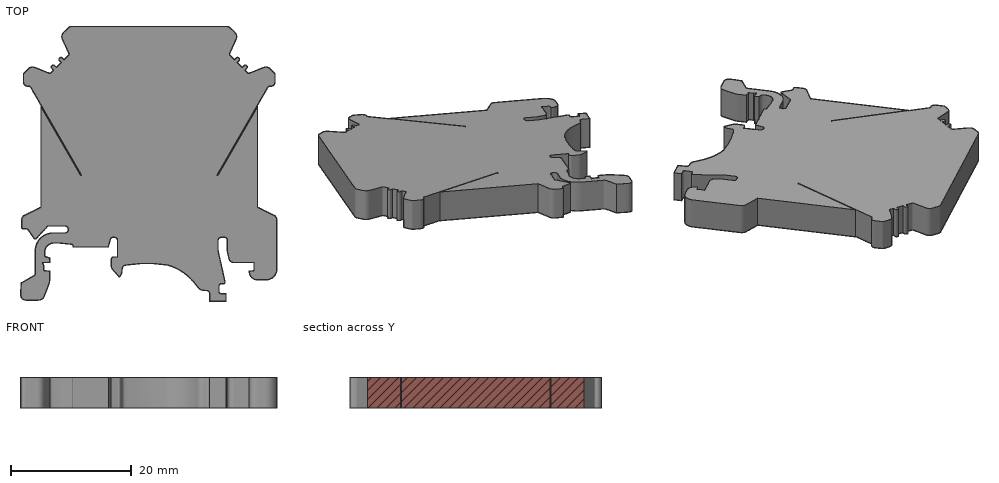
import cadquery as cq
import math


THICKNESS = 5.1
HEIGHT = 45.65
WIDTH = 42.53
SHOULDER_HALF_WIDTH = 21.18
HOOK_LEFT_X = SHOULDER_HALF_WIDTH - WIDTH

SHARP = 0
TINY_ROUND = 0.1
SMALL_ROUND = 0.25
SLOT_ROUND_TIGHT = 0.35
MEDIUM_ROUND = 0.5
WIDE_ROUND = 0.9
ROUND_CORNER = 1.0

BODY_HALF_WIDTH = 17.97
FLANK_BOTTOM_Y = 15.65
SHOULDER_Y = 14.06
CROWN_HALF_WIDTH = 13.18
CROWN_SIDE = (14.72, 44.13)
SEAT_TOP = (13.28, 40.99)
SEAT_ANGLE = 45
SEAT_LENGTH = 4.48
SEAT_RADIUS = 0.15
EAR_TIP = (19.6, 39.07)
EAR_HALF_WIDTH = 20.87
EAR_SHOULDER_Y = 37.8
EAR_BOTTOM_Y = 35.67
EAR_HEEL_X = 19.76
EAR_BOTTOM_RADIUS = 0.75
FUNNEL_ANGLE = math.radians(60)

RIDGE_OFFSETS = (1.56, 3.36)
RIDGE_WIDTH = 0.66
RIDGE_HEIGHT = 0.7
RIDGE_RADIUS = 0.25

SLIT_END_Y = 20.9
SLIT_WIDTH = 0.1

LEG_LEFT_X = -18.93
LEG_INNER_X = -17.33
JAW_X = -16.5
JAW_NOTCH_X = -17.48
JAW_NOTCH_DEEP_X = -17.7
FOOT_BOTTOM_Y = 0.2
FOOT_TOP = (-21.25, 3.07)
FOOT_SIDE_Y = 1.5
FOOT_TOE_X = -17.67
FOOT_TOE_RADIUS = 1.1
FOOT_FRONT_Y = 3.2
FOOT_FRONT_RADIUS = 2.0
JAW_LOWER_Y = 5.03
JAW_NOTCH_BOTTOM_Y = 5.15
JAW_NOTCH_STEP_Y = 6.0
JAW_UPPER_Y = 7.22
LEG_POCKET_Y = 7.48
LEG_BOTTOM_Y = 4.4
SPRING_SLOT_TOP_Y = 12.51
SPRING_SLOT_BOTTOM_Y = 11.38
SPRING_SLOT_END_X = -13.44
SPRING_SLOT_RADIUS = 0.54
SPRING_SLOT_MOUTH_X = -16.82
BARB_TIP = (-18.95, 10.2)
BARB_HEEL_X = -20.2
BARB_TOP_Y = 12.03
LEG_OUTER_RADIUS = 3.0
LEG_INNER_RADIUS = 1.5
LEG_TOP_Y = 9.67
LEG_ROOT_X = -14.85
WEB_STEP = (-12.75, 9.45)
WEB_LEFT_X = -12.6
WEB_RIGHT_X = -6.8
WEB_Y = 9.02

SLOT_TOP_Y = 10.62
LEFT_SLOT_RIGHT_X = -5.28
LEFT_SLOT_LEFT_X = -6.33
SPUR_LEFT_X = -6.32
SPUR_TOP_Y = 7.38
SPUR_TOP_RADIUS = 0.4
SPUR_BOTTOM_Y = 5.55
SPUR_TIP = (-4.92, 3.98)
SPUR_TIP_RADIUS = 0.15
SPUR_INNER = (-4.55, 4.7)
SADDLE_START = (-4.42, 5.93)
SADDLE_START_RADIUS = 0.6
SADDLE_CROWN = (-0.35, 6.55)
SADDLE_CROWN_RADIUS = 22.0
SADDLE_BREAK = (3.02, 6.03)
SADDLE_FLANK = (5.77, 5.25)
SADDLE_FLANK_RADIUS = 8.7
LATCH_LEFT_X = 10.02
LATCH_RIGHT_X = 12.73
LATCH_NECK_X = 11.6
LATCH_TOP_Y = 1.82
LATCH_LIP_Y = 1.32
LATCH_BARB = (12.66, 2.92)
LATCH_BARB_RADIUS = 0.3
LATCH_SHOULDER_RADIUS = 0.6
LATCH_ROOT_X = 8.48
LATCH_ROOT_RADIUS = 1.3
RIGHT_SLOT_LEFT_X = 11.43
RIGHT_SLOT_RIGHT_X = 12.91
RIGHT_SLOT_BEND_Y = 8.4

RAIL_SEAT_Y = 6.43
RAIL_SEAT_LEFT_X = 13.35
RAIL_STOP_X = 17.37
RAIL_STOP_BOTTOM_Y = 5.12
FIXED_LIP_X = 16.57
FIXED_LIP_Y = 5.03
FIXED_FOOT_BOTTOM_Y = 3.57
FIXED_FOOT_RADIUS = 1.8
FIXED_LIP_RADIUS = 1.4


def upper_side():
    """Corners of the +X upper housing, from the top edge down to the shoulder."""
    seat_step = SEAT_LENGTH * math.cos(math.radians(SEAT_ANGLE))
    return [
        (CROWN_HALF_WIDTH, HEIGHT, ROUND_CORNER),
        (*CROWN_SIDE, ROUND_CORNER),
        (*SEAT_TOP, SEAT_RADIUS),
        (SEAT_TOP[0] + seat_step, SEAT_TOP[1] - seat_step, SEAT_RADIUS),
        (*EAR_TIP, ROUND_CORNER),
        (EAR_HALF_WIDTH, EAR_SHOULDER_Y, SMALL_ROUND),
        (EAR_HALF_WIDTH, EAR_BOTTOM_Y, EAR_BOTTOM_RADIUS),
        (EAR_HEEL_X, EAR_BOTTOM_Y, SMALL_ROUND),
        (BODY_HALF_WIDTH, funnel_y(BODY_HALF_WIDTH), SHARP),
        (BODY_HALF_WIDTH, FLANK_BOTTOM_Y, SHARP),
        (SHOULDER_HALF_WIDTH, SHOULDER_Y, WIDE_ROUND),
    ]


def funnel_y(x):
    """Height of the sloping ear underside at a given distance from the axis."""
    return EAR_BOTTOM_Y - (EAR_HEEL_X - x) * math.tan(FUNNEL_ANGLE)


def fixed_foot():
    """Corners of the +X foot, from its outer bottom corner to the rail seat."""
    return [
        (SHOULDER_HALF_WIDTH, FIXED_FOOT_BOTTOM_Y, FIXED_FOOT_RADIUS),
        (FIXED_LIP_X, FIXED_FOOT_BOTTOM_Y, FIXED_LIP_RADIUS),
        (FIXED_LIP_X, FIXED_LIP_Y, SHARP),
        (RAIL_STOP_X, RAIL_STOP_BOTTOM_Y, TINY_ROUND),
        (RAIL_STOP_X, RAIL_SEAT_Y, SHARP),
        (RAIL_SEAT_LEFT_X, RAIL_SEAT_Y, WIDE_ROUND),
    ]


def latch_and_saddle():
    """Corners from the right relief slot over the latch and saddle to the spur."""
    return [
        (RIGHT_SLOT_RIGHT_X, RIGHT_SLOT_BEND_Y, SHARP),
        (RIGHT_SLOT_RIGHT_X, SLOT_TOP_Y, SLOT_ROUND_TIGHT),
        (RIGHT_SLOT_LEFT_X, SLOT_TOP_Y, MEDIUM_ROUND),
        (RIGHT_SLOT_LEFT_X, RIGHT_SLOT_BEND_Y, SHARP),
        (*LATCH_BARB, LATCH_BARB_RADIUS),
        (LATCH_NECK_X, LATCH_BARB[1], LATCH_BARB_RADIUS),
        (LATCH_NECK_X, LATCH_LIP_Y, SMALL_ROUND),
        (LATCH_RIGHT_X, LATCH_LIP_Y, SHARP),
        (LATCH_RIGHT_X, 0, SHARP),
        (LATCH_LEFT_X, 0, SHARP),
        (LATCH_LEFT_X, LATCH_TOP_Y, LATCH_SHOULDER_RADIUS),
        (LATCH_ROOT_X, LATCH_TOP_Y, LATCH_ROOT_RADIUS),
        (*SADDLE_FLANK, SADDLE_FLANK_RADIUS),
        (*SADDLE_BREAK, SHARP),
        (*SADDLE_CROWN, SADDLE_CROWN_RADIUS),
        (*SADDLE_START, SADDLE_START_RADIUS),
        (*SPUR_INNER, MEDIUM_ROUND),
        (*SPUR_TIP, SPUR_TIP_RADIUS),
        (SPUR_LEFT_X, SPUR_BOTTOM_Y, ROUND_CORNER),
        (SPUR_LEFT_X, SPUR_TOP_Y, SPUR_TOP_RADIUS),
        (LEFT_SLOT_RIGHT_X, SPUR_TOP_Y, SHARP),
        (LEFT_SLOT_RIGHT_X, SLOT_TOP_Y, MEDIUM_ROUND),
        (LEFT_SLOT_LEFT_X, SLOT_TOP_Y, SLOT_ROUND_TIGHT),
        (WEB_RIGHT_X, WEB_Y, SHARP),
    ]


def spring_foot():
    """Corners of the -X foot, along its inside, around the hook and back up."""
    return [
        (WEB_LEFT_X, WEB_Y, TINY_ROUND),
        (*WEB_STEP, TINY_ROUND),
        (LEG_ROOT_X, LEG_TOP_Y, SHARP),
        (LEG_INNER_X, LEG_TOP_Y, LEG_INNER_RADIUS),
        (LEG_INNER_X, LEG_POCKET_Y, SMALL_ROUND),
        (JAW_X, JAW_UPPER_Y, SHARP),
        (JAW_X, RAIL_SEAT_Y, SHARP),
        (JAW_NOTCH_DEEP_X, RAIL_SEAT_Y, SHARP),
        (JAW_NOTCH_X, JAW_NOTCH_STEP_Y, SHARP),
        (JAW_NOTCH_X, JAW_NOTCH_BOTTOM_Y, SHARP),
        (JAW_X, JAW_LOWER_Y, SHARP),
        (JAW_X, FOOT_FRONT_Y, FOOT_FRONT_RADIUS),
        (FOOT_TOE_X, FOOT_BOTTOM_Y, FOOT_TOE_RADIUS),
        (HOOK_LEFT_X, FOOT_BOTTOM_Y, WIDE_ROUND),
        (HOOK_LEFT_X, FOOT_SIDE_Y, SHARP),
        (*FOOT_TOP, SHARP),
        (LEG_LEFT_X, LEG_BOTTOM_Y, MEDIUM_ROUND),
        (LEG_LEFT_X, SPRING_SLOT_BOTTOM_Y, LEG_OUTER_RADIUS),
        (SPRING_SLOT_END_X, SPRING_SLOT_BOTTOM_Y, SPRING_SLOT_RADIUS),
        (SPRING_SLOT_END_X, SPRING_SLOT_TOP_Y, SPRING_SLOT_RADIUS),
        (SPRING_SLOT_MOUTH_X, SPRING_SLOT_TOP_Y, TINY_ROUND),
        (*BARB_TIP, SMALL_ROUND),
        (BARB_HEEL_X, BARB_TOP_Y, MEDIUM_ROUND),
        (-SHOULDER_HALF_WIDTH, BARB_TOP_Y, SMALL_ROUND),
    ]


def mirrored(corners):
    """The same corners on the other side of X = 0, in reverse order."""
    return [(-x, y, radius) for x, y, radius in reversed(corners)]


def rounded_outline(corners):
    """Closed wire through the corners, each rounded by a tangent arc."""
    outline = None
    for index, (x, y, radius) in enumerate(corners):
        corner = cq.Vector(x, y)
        before = cq.Vector(*corners[index - 1][:2])
        after = cq.Vector(*corners[(index + 1) % len(corners)][:2])
        to_before = (before - corner).normalized()
        to_after = (after - corner).normalized()
        half_angle = to_before.getAngle(to_after) / 2
        setback = radius / math.tan(half_angle)
        arc_start = corner + to_before * setback
        if outline is None:
            outline = cq.Workplane("XY").moveTo(arc_start.x, arc_start.y)
        else:
            outline = outline.lineTo(arc_start.x, arc_start.y)
        if radius > SHARP:
            arc_end = corner + to_after * setback
            bisector = (to_before + to_after).normalized()
            arc_middle = corner + bisector * (radius / math.sin(half_angle) - radius)
            outline = outline.threePointArc(arc_middle.toTuple()[:2], arc_end.toTuple()[:2])
    return outline.close()


def ridge(offset):
    """One rounded ridge standing square on the +X label seat."""
    buried = RIDGE_WIDTH
    step = offset * math.cos(math.radians(SEAT_ANGLE))
    return (
        cq.Workplane("XY")
        .rect(RIDGE_HEIGHT + buried, RIDGE_WIDTH)
        .extrude(THICKNESS)
        .edges("|Z and >X")
        .fillet(RIDGE_RADIUS)
        .translate(((RIDGE_HEIGHT - buried) / 2, 0, 0))
        .rotate((0, 0, 0), (0, 0, 1), SEAT_ANGLE)
        .translate((SEAT_TOP[0] + step, SEAT_TOP[1] - step, 0))
    )


def slit():
    """Thin slit in line with the +X ear underside, open at the body flank."""
    drop = SLIT_WIDTH / math.cos(FUNNEL_ANGLE)
    end_x = EAR_HEEL_X - (EAR_BOTTOM_Y - SLIT_END_Y) / math.tan(FUNNEL_ANGLE)
    open_y = funnel_y(BODY_HALF_WIDTH)
    return (
        cq.Workplane("XY")
        .moveTo(BODY_HALF_WIDTH, open_y)
        .lineTo(end_x, SLIT_END_Y)
        .lineTo(end_x + SLIT_WIDTH / math.sin(FUNNEL_ANGLE), SLIT_END_Y)
        .lineTo(BODY_HALF_WIDTH, open_y - drop)
        .close()
        .extrude(THICKNESS)
    )


corners = (
    upper_side()
    + fixed_foot()
    + latch_and_saddle()
    + spring_foot()
    + mirrored(upper_side())
)
result = rounded_outline(corners).extrude(THICKNESS)

for ridge_offset in RIDGE_OFFSETS:
    seat_ridge = ridge(ridge_offset)
    result = result.union(seat_ridge).union(seat_ridge.mirror("YZ"))

funnel_slit = slit()
result = result.cut(funnel_slit).cut(funnel_slit.mirror("YZ"))